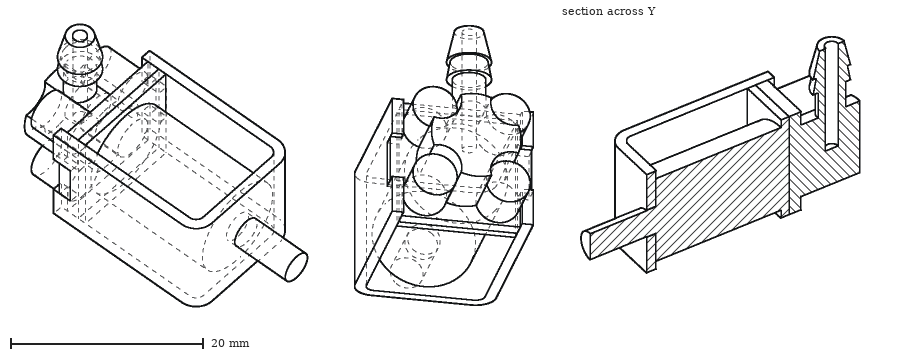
import cadquery as cq


frame_width = 15.0
frame_height = 13.0
frame_front = 6.45
frame_back = 26.5
sheet = 1.2
bend_radius = 2.2
frame_inner_width = frame_width - 2 * sheet
web_front = frame_back - sheet

plate_front = 7.3
plate_thickness = 1.5
plate_back = plate_front + plate_thickness
tab_height = 5.0
hub_radius = 4.75

post_front = 2.25
post_radius = 2.35
post_offset = 3.9

barb_x = 3.5
stem_radius = 1.75
barb_bottom = 8.0
barb_step = 10.0
barb_top = 13.5
barb_rim_radius = 2.35
barb_neck_radius = 1.98
barb_tip_radius = 1.55
bore_radius = 0.77

flange_thickness = 1.0
coil_front = plate_back + flange_thickness
coil_radius = 5.5
tube_radius = 1.75
tube_end = 33.5


def x_cylinder(radius, start, end, y=0, z=0):
    """Cylinder along X from start to end, centred on (y, z)."""
    return cq.Workplane("YZ", origin=(start, y, z)).circle(radius).extrude(end - start)


def x_block(start, end, width, height):
    """Block from start to end along X, centred on the main axis."""
    block = cq.Workplane("XY").box(end - start, width, height)
    return block.translate(((start + end) / 2, 0, 0))


def make_frame():
    """Bent sheet with a notch in each arm and a hole for the rear tube."""
    outer = x_block(frame_front, frame_back, frame_width, frame_height)
    outer = outer.edges("|Z and >X").fillet(bend_radius)
    inner = x_block(frame_front, web_front, frame_inner_width, frame_height)
    inner = inner.edges("|Z and >X").fillet(bend_radius - sheet)
    notches = x_block(frame_front, plate_back, frame_width, tab_height)
    tube_hole = x_cylinder(tube_radius, web_front, frame_back)
    return outer.cut(inner).cut(notches).cut(tube_hole)


def make_post(y, z, front=post_front):
    """Round corner post ending on the valve plate."""
    return x_cylinder(post_radius, front, plate_front, y, z)


def make_barb():
    """Stem and two tapered rings, revolved about a vertical axis."""
    profile = (
        cq.Workplane("XZ", origin=(barb_x, 0, 0))
        .lineTo(stem_radius, 0)
        .lineTo(stem_radius, barb_bottom)
        .lineTo(barb_rim_radius, barb_bottom)
        .lineTo(barb_neck_radius, barb_step)
        .lineTo(barb_rim_radius, barb_step)
        .lineTo(barb_tip_radius, barb_top)
        .lineTo(0, barb_top)
        .close()
    )
    return profile.revolve(360, (0, 0, 0), (0, 1, 0))


def make_valve_body(post_centres):
    """Plate, tabs, hub and hose barb, scalloped to clear the posts."""
    plate = x_block(plate_front, plate_back, frame_inner_width, frame_height)
    tabs = x_block(plate_front, plate_back, frame_width, tab_height)
    hub = x_cylinder(hub_radius, 0, plate_front)
    body = plate.union(tabs).union(hub).union(make_barb())
    for y, z in post_centres:
        body = body.cut(make_post(y, z, front=0))
    bore = cq.Workplane("XY", origin=(barb_x, 0, 0)).circle(bore_radius).extrude(barb_top)
    return body.cut(bore)


def make_coil():
    """Square flange, round winding and the tube through the frame."""
    flange = x_block(plate_back, coil_front, frame_inner_width, frame_height)
    winding = x_cylinder(coil_radius, coil_front, web_front)
    tube = x_cylinder(tube_radius, web_front, tube_end)
    return flange.union(winding).union(tube)


post_centres = [(y, z) for y in (-post_offset, post_offset) for z in (-post_offset, post_offset)]

frame = make_frame()
valve_body = make_valve_body(post_centres)
coil = make_coil()
posts = [make_post(y, z).val() for y, z in post_centres]

bodies = [body.solids().val() for body in (frame, valve_body, coil)]

result = cq.Compound.makeCompound([*bodies, *posts])